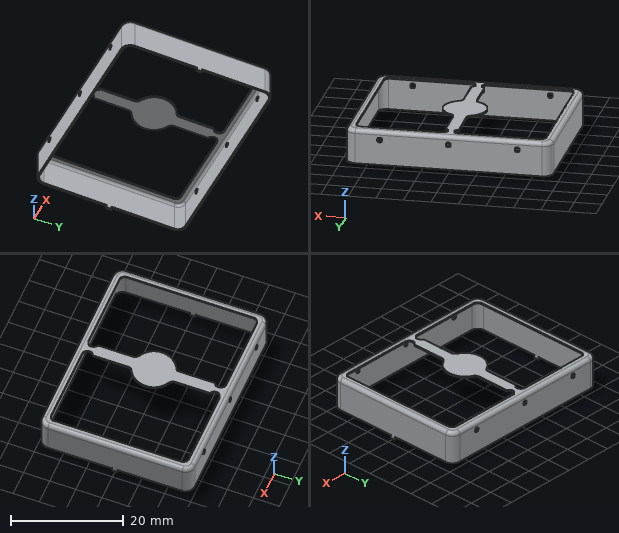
import cadquery as cq
import math

LENGTH = 37.5
WIDTH = 29.3
BODY_HEIGHT = 6.5
CORNER_RADIUS = 1.8
TOP_EDGE_RADIUS = 0.8
SHEET_THICKNESS = 0.3

RIM_WIDTH = 1.5
WINDOW_CORNER_RADIUS = 1.0

BRIDGE_WIDTH = 2.4
HUB_RADIUS = 4.0
HUB_BLEND_RADIUS = 1.0
NECK_WIDTH = 1.1
NOTCH_RADIUS = 1.0

HOLE_DIAMETER = 0.9
HOLE_SPACING = 12.5
HOLE_DEPTH_FROM_TOP = 1.8

TAB_WIDTH = 1.0
TAB_HEIGHT = 0.6

WINDOW_LENGTH = LENGTH - 2 * RIM_WIDTH
WINDOW_WIDTH = WIDTH - 2 * RIM_WIDTH
PLATE_BOTTOM = BODY_HEIGHT - SHEET_THICKNESS


def rounded_block(length, width, height, radius, base_z):
    """Centred block with rounded vertical edges, standing on base_z."""
    block = cq.Workplane("XY").workplane(offset=base_z).rect(length, width).extrude(height)
    return block.edges("|Z").fillet(radius)


def shell():
    """Cover of uniform sheet: thin walls closed by the top plate, open at the bottom."""
    outer = rounded_block(LENGTH, WIDTH, BODY_HEIGHT, CORNER_RADIUS, 0)
    outer = outer.faces(">Z").edges().fillet(TOP_EDGE_RADIUS)
    cavity = rounded_block(
        LENGTH - 2 * SHEET_THICKNESS,
        WIDTH - 2 * SHEET_THICKNESS,
        PLATE_BOTTOM,
        CORNER_RADIUS - SHEET_THICKNESS,
        0,
    )
    cavity = cavity.faces(">Z").edges().fillet(TOP_EDGE_RADIUS - SHEET_THICKNESS)
    return outer.cut(cavity)


def window():
    """Rectangular opening through the top plate."""
    return rounded_block(
        WINDOW_LENGTH, WINDOW_WIDTH, SHEET_THICKNESS, WINDOW_CORNER_RADIUS, PLATE_BOTTOM
    )


def bridge():
    """Strip along Y with a blended hub and a narrow neck at each end."""
    plane = cq.Workplane("XY").workplane(offset=PLATE_BOTTOM)
    strip = plane.rect(BRIDGE_WIDTH, WINDOW_WIDTH).extrude(SHEET_THICKNESS)
    hub = plane.circle(HUB_RADIUS).extrude(SHEET_THICKNESS)
    blended = strip.union(hub)

    half_width = BRIDGE_WIDTH / 2
    junction_y = math.sqrt(HUB_RADIUS**2 - half_width**2)
    margin = 0.1
    for side_x in (-half_width, half_width):
        for side_y in (-junction_y, junction_y):
            junction = cq.selectors.BoxSelector(
                (side_x - margin, side_y - margin, PLATE_BOTTOM),
                (side_x + margin, side_y + margin, BODY_HEIGHT),
            )
            blended = blended.edges("|Z").edges(junction).fillet(HUB_BLEND_RADIUS)

    notch_x = NECK_WIDTH / 2 + NOTCH_RADIUS
    notch_y = WINDOW_WIDTH / 2 - NOTCH_RADIUS
    flare_centres = [(0, side * (notch_y + NOTCH_RADIUS / 2)) for side in (-1, 1)]
    flares = plane.pushPoints(flare_centres).rect(2 * notch_x, NOTCH_RADIUS).extrude(SHEET_THICKNESS)
    notches = (
        plane.rect(2 * notch_x, 2 * notch_y, forConstruction=True)
        .vertices()
        .circle(NOTCH_RADIUS)
        .extrude(SHEET_THICKNESS)
    )
    return blended.union(flares).cut(notches)


def side_holes():
    """Three holes running along Y through both long walls."""
    hole_z = BODY_HEIGHT - HOLE_DEPTH_FROM_TOP
    centres = [(step * HOLE_SPACING, hole_z) for step in (-1, 0, 1)]
    return (
        cq.Workplane("XZ")
        .pushPoints(centres)
        .circle(HOLE_DIAMETER / 2)
        .extrude(WIDTH / 2, both=True)
    )


def tabs():
    """Small tabs hanging below the middle of each short wall."""
    tab_x = (LENGTH - SHEET_THICKNESS) / 2
    return (
        cq.Workplane("XY")
        .pushPoints([(-tab_x, 0), (tab_x, 0)])
        .rect(SHEET_THICKNESS, TAB_WIDTH)
        .extrude(-TAB_HEIGHT)
    )


result = shell().cut(window()).union(bridge()).cut(side_holes()).union(tabs())